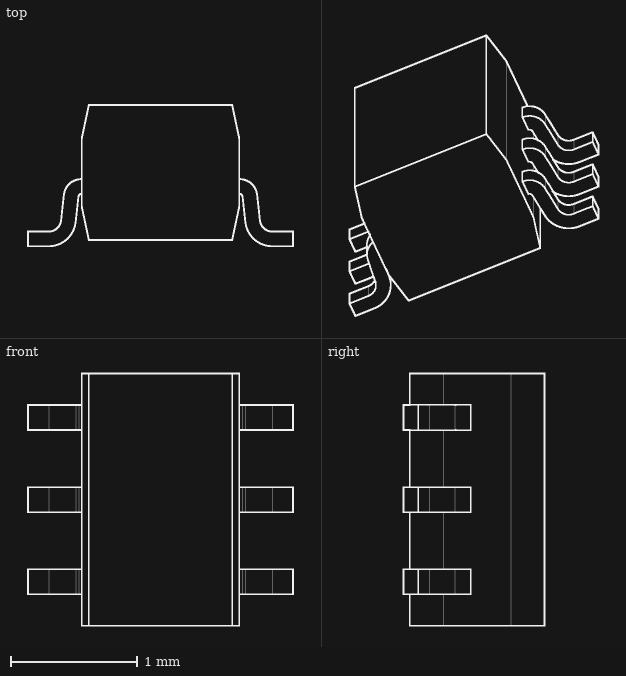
import cadquery as cq
import math

overall_width = 2.1
overall_height = 1.12
body_width = 1.25
body_length = 2.0
standoff = 0.05
body_height = overall_height - standoff
draft_angle = math.radians(12)
taper_height = body_height / 4
taper_inset = taper_height * math.tan(draft_angle)

leads_per_side = 3
lead_pitch = 0.65
lead_width = 0.2
lead_thickness = 0.118
lead_top = 0.534
leg_lean = math.radians(6.2)
shoulder_inner_radius = 0.024
shoulder_outer_radius = shoulder_inner_radius + lead_thickness
heel_inner_radius = 0.098
heel_outer_radius = heel_inner_radius + lead_thickness


def make_body():
    """Solid block whose flanks taper towards top and bottom."""
    side = body_width / 2
    face = side - taper_inset
    bottom = standoff
    top = overall_height
    outline = [
        (-face, bottom),
        (face, bottom),
        (side, bottom + taper_height),
        (side, top - taper_height),
        (face, top),
        (-face, top),
        (-side, top - taper_height),
        (-side, bottom + taper_height),
    ]
    return (
        cq.Workplane("XY")
        .polyline(outline)
        .close()
        .extrude(body_length / 2, both=True)
    )


def make_lead(z_center):
    """One lead on the +X side, from the body flank down to the foot."""
    body_side = body_width / 2
    toe = overall_width / 2

    shoulder_x = body_side
    shoulder_y = lead_top - shoulder_outer_radius
    heel_y = heel_outer_radius
    drop = shoulder_y - heel_y
    bend_spacing = shoulder_outer_radius + heel_inner_radius
    heel_x = shoulder_x + (bend_spacing + drop * math.sin(leg_lean)) / math.cos(leg_lean)

    def on_shoulder(radius, angle):
        return (shoulder_x + radius * math.cos(angle), shoulder_y + radius * math.sin(angle))

    def on_heel(radius, angle):
        return (heel_x - radius * math.cos(angle), heel_y - radius * math.sin(angle))

    mid_bend = (leg_lean + math.pi / 2) / 2

    return (
        cq.Workplane("XY", origin=(0, 0, z_center))
        .moveTo(body_side, lead_top)
        .threePointArc(
            on_shoulder(shoulder_outer_radius, mid_bend),
            on_shoulder(shoulder_outer_radius, leg_lean),
        )
        .lineTo(*on_heel(heel_inner_radius, leg_lean))
        .threePointArc(
            on_heel(heel_inner_radius, mid_bend),
            (heel_x, lead_thickness),
        )
        .lineTo(toe, lead_thickness)
        .lineTo(toe, 0)
        .lineTo(heel_x, 0)
        .threePointArc(
            on_heel(heel_outer_radius, mid_bend),
            on_heel(heel_outer_radius, leg_lean),
        )
        .lineTo(*on_shoulder(shoulder_inner_radius, leg_lean))
        .threePointArc(
            on_shoulder(shoulder_inner_radius, mid_bend),
            (body_side, lead_top - lead_thickness),
        )
        .close()
        .extrude(lead_width / 2, both=True)
    )


body = make_body()

leads = []
for index in range(leads_per_side):
    z_center = (index - (leads_per_side - 1) / 2) * lead_pitch
    lead = make_lead(z_center)
    leads.append(lead.val())
    leads.append(lead.mirror("YZ").val())

result = cq.Compound.makeCompound([body.val(), *leads])